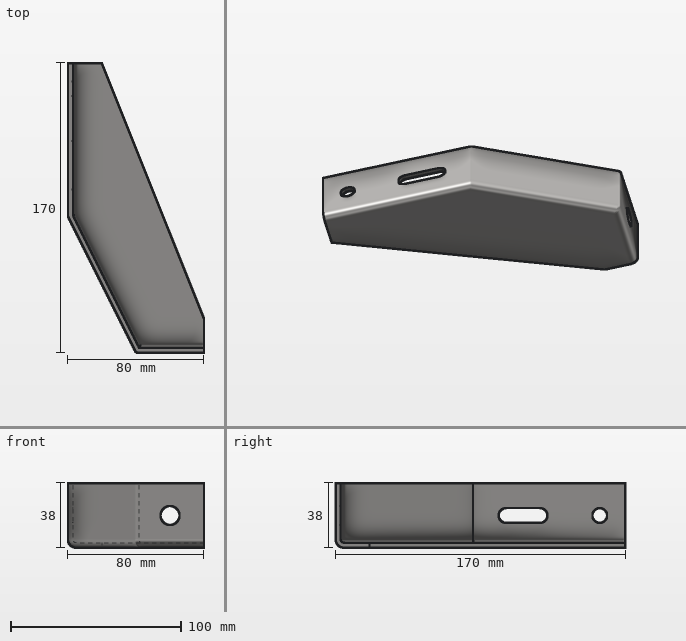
import cadquery as cq
import math

LENGTH_X = 80.0
LENGTH_Y = 170.0
HEIGHT = 38.0

THICKNESS = 3.0
INNER_RADIUS = 2.0
OUTER_RADIUS = INNER_RADIUS + THICKNESS
CORNER_RADIUS = 2.0

LONG_WALL_START = 80.0
SHORT_WALL_START = 40.0
END_WIDTH = 20.0

HOLE_Z = HEIGHT / 2
SHORT_WALL_HOLE_DIAMETER = 11.0
SHORT_WALL_HOLE_X = (SHORT_WALL_START + LENGTH_X) / 2
LONG_WALL_HOLE_DIAMETER = 8.5
LONG_WALL_HOLE_END_DISTANCE = 15.0
LONG_WALL_HOLE_Y = LENGTH_Y - LONG_WALL_HOLE_END_DISTANCE
SLOT_WIDTH = LONG_WALL_HOLE_DIAMETER
SLOT_END_DISTANCE = 60.0
SLOT_CENTRE_Y = LENGTH_Y - SLOT_END_DISTANCE
SLOT_TRAVEL = 20.0

CUT_MARGIN = 10.0

OUTER_PATH = [(0, LENGTH_Y), (0, LONG_WALL_START), (SHORT_WALL_START, 0), (LENGTH_X, 0)]


def make_inner_path():
    """Inside of the three walls in plan, running past both open ends."""
    slant_angle = math.atan2(SHORT_WALL_START, LONG_WALL_START)
    long_corner_shift = THICKNESS * math.tan(slant_angle / 2)
    short_corner_shift = THICKNESS * math.tan((math.pi / 2 - slant_angle) / 2)
    return [
        (THICKNESS, LENGTH_Y + CUT_MARGIN),
        (THICKNESS, LONG_WALL_START + long_corner_shift),
        (SHORT_WALL_START + short_corner_shift, THICKNESS),
        (LENGTH_X + CUT_MARGIN, THICKNESS),
    ]


def edges_near(body, points):
    """The edges of the body whose middles lie closest to the given points."""
    found = []
    for point in points:
        found += body.edges(cq.selectors.NearestToPointSelector(point)).vals()
    return body.newObject(found)


def fillet_wall_foot(body, path, foot_z, radius):
    """Round the bottom edges that follow the wall path."""
    middles = [((x0 + x1) / 2, (y0 + y1) / 2, foot_z) for (x0, y0), (x1, y1) in zip(path, path[1:])]
    return edges_near(body, middles).fillet(radius)


def make_outer_block():
    """Full-height block with the base outline, rounded where the walls bend."""
    outline = OUTER_PATH + [(LENGTH_X, END_WIDTH), (END_WIDTH, LENGTH_Y)]
    block = cq.Workplane("XY").polyline(outline).close().extrude(HEIGHT)
    block = fillet_wall_foot(block, OUTER_PATH, 0, OUTER_RADIUS)
    corners = [(x, y, HEIGHT / 2) for x, y in OUTER_PATH[1:-1]]
    return edges_near(block, corners).fillet(CORNER_RADIUS)


def make_inner_space():
    """Everything above the base and inside the walls, with a rounded foot."""
    path = make_inner_path()
    outline = path + [(LENGTH_X + CUT_MARGIN, LENGTH_Y + CUT_MARGIN)]
    space = cq.Workplane("XY").workplane(offset=THICKNESS).polyline(outline).close().extrude(HEIGHT)
    return fillet_wall_foot(space, path, THICKNESS, INNER_RADIUS)


def make_short_wall_hole():
    """Round hole through the short wall, along Y."""
    plane = cq.Workplane("XZ", origin=(SHORT_WALL_HOLE_X, 0, HOLE_Z))
    return plane.circle(SHORT_WALL_HOLE_DIAMETER / 2).extrude(CUT_MARGIN, both=True)


def make_long_wall_holes():
    """Round hole and lengthwise slot through the long wall, along X."""
    hole_plane = cq.Workplane("YZ", origin=(0, LONG_WALL_HOLE_Y, HOLE_Z))
    hole = hole_plane.circle(LONG_WALL_HOLE_DIAMETER / 2).extrude(CUT_MARGIN, both=True)
    slot_plane = cq.Workplane("YZ", origin=(0, SLOT_CENTRE_Y, HOLE_Z))
    slot_length = SLOT_TRAVEL + SLOT_WIDTH
    slot = slot_plane.slot2D(slot_length, SLOT_WIDTH).extrude(CUT_MARGIN, both=True)
    return hole.union(slot)


bracket = make_outer_block().cut(make_inner_space())
result = bracket.cut(make_short_wall_hole()).cut(make_long_wall_holes())